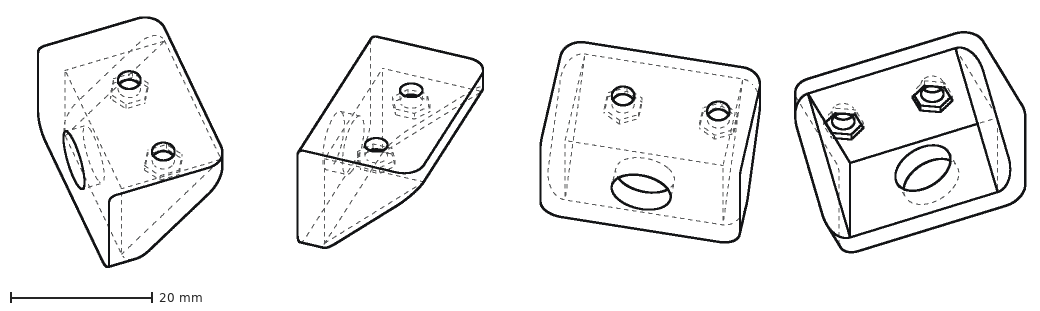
import cadquery as cq
import math

width = 28.75
depth = 18.05
height = 18.0

wall = 3.0
corner_radius = 3.0
bend_radius = 1.0

front_hole_diameter = 8.5
front_hole_x = 14.52
front_hole_drop = 8.5

screw_hole_diameter = 3.2
first_screw_x = 10.0
screw_spacing = 13.75
screw_y = 10.05
screw_centres = [(first_screw_x + i * screw_spacing, screw_y) for i in range(2)]

nut_across_flats = 4.95
nut_pocket_depth = 1.0



def wedge_body():
    """Solid wedge joining the free ends of the two plates."""
    profile = [
        (0, 0),
        (depth, 0),
        (depth, -wall),
        (wall, -height),
        (0, -height),
    ]
    return cq.Workplane("YZ").polyline(profile).close().extrude(width)


def rounded_outline():
    """Block with its bend and the four outer plate corners rounded."""
    block = cq.Workplane("XY").box(width, depth, height, centered=False)
    block = block.translate((0, 0, -height))
    block = block.edges("|Z and >Y").fillet(corner_radius)
    block = block.edges("|Y and <Z").fillet(corner_radius)
    return block.edges("|X and <Y and >Z").fillet(bend_radius)


def inner_pocket():
    """Space behind the plates and between the two side gussets."""
    pocket = cq.Workplane("XY").box(
        width - 2 * wall, depth - wall, height - wall, centered=False
    )
    return pocket.translate((wall, wall, -height))


def front_hole():
    """Cutter for the large hole, running along +Y."""
    return (
        cq.Workplane("XZ")
        .center(front_hole_x, -front_hole_drop)
        .circle(front_hole_diameter / 2)
        .extrude(-depth)
    )


def screw_holes():
    """Cutter for the screw holes, running down from the top face."""
    return (
        cq.Workplane("XY")
        .pushPoints(screw_centres)
        .circle(screw_hole_diameter / 2)
        .extrude(-height)
    )


def nut_pockets():
    """Hexagonal cutters with two flats facing +X and -X."""
    across_corners = nut_across_flats / math.cos(math.pi / 6)
    nut = (
        cq.Workplane("XY")
        .polygon(6, across_corners)
        .extrude(nut_pocket_depth)
        .rotate((0, 0, 0), (0, 0, 1), 30)
    )
    pockets = cq.Workplane("XY")
    for x, y in screw_centres:
        pockets = pockets.add(nut.translate((x, y, -wall)))
    return pockets.combine()


result = wedge_body().intersect(rounded_outline())
result = result.cut(inner_pocket())
result = result.cut(front_hole())
result = result.cut(screw_holes())
result = result.cut(nut_pockets())